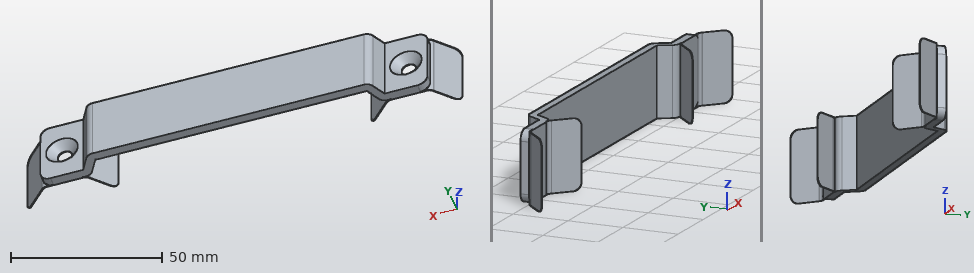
import cadquery as cq
import math

overall_length = 152.0
overall_depth = 17.6
width = 25.0

strip_thickness = 3.0
strip_length = 135.1
tab_offset = 6.0
web_angle = math.radians(60)
plate_half_length = 47.4
tab_corner_radius = 3.5

clip_thickness = 0.3
clip_span = 31.9
clip_bend_radius = 2.6
leg_angle = math.radians(45)
leg_corner_radius = 3.0

hole_diameter = 5.0
countersink_diameter = 11.1

plate_front = -strip_thickness
tab_back = -tab_offset
tab_front = tab_back - strip_thickness
web_run = (strip_thickness + (tab_offset - strip_thickness) * math.cos(web_angle)) / math.sin(web_angle)
tab_inner_x = plate_half_length + web_run
tab_end_x = strip_length / 2
clip_x = (overall_length - clip_span) / 2

clip_outer_radius = clip_bend_radius + clip_thickness
bend_drop = clip_outer_radius * (1 - math.cos(leg_angle))
clip_drop = overall_depth + tab_front
leg_drop = clip_drop - bend_drop - clip_thickness * math.cos(leg_angle)
leg_length = leg_drop / math.sin(leg_angle)
leg_run = leg_length * math.cos(leg_angle)
clip_flat_half = clip_span / 2 - clip_outer_radius * math.sin(leg_angle) - leg_run


def polar(center, radius, angle):
    """Point at an angle turned from +Y towards +X."""
    return (center[0] + radius * math.sin(angle), center[1] + radius * math.cos(angle))


def extrude_across_width(profile):
    return profile.close().extrude(width / 2, both=True)


def make_half_strip():
    """The +X half of the strip, with bends rounded about their sharp inside corners."""
    plate_corner = (plate_half_length, plate_front)
    tab_corner = (tab_inner_x, tab_back)
    profile = (
        cq.Workplane("XY")
        .moveTo(0, 0)
        .lineTo(plate_half_length, 0)
        .threePointArc(
            polar(plate_corner, strip_thickness, web_angle / 2),
            polar(plate_corner, strip_thickness, web_angle),
        )
        .lineTo(*tab_corner)
        .lineTo(tab_end_x, tab_back)
        .lineTo(tab_end_x, tab_front)
        .lineTo(tab_inner_x, tab_front)
        .threePointArc(
            polar(tab_corner, strip_thickness, math.pi + web_angle / 2),
            polar(tab_corner, strip_thickness, math.pi + web_angle),
        )
        .lineTo(*plate_corner)
        .lineTo(0, plate_front)
    )
    return extrude_across_width(profile).edges("|Y and >X").fillet(tab_corner_radius)


def make_half_clip():
    """The +X half of a clip centred on X = 0, with its leg corners rounded."""
    bend_center = (clip_flat_half, tab_front - clip_outer_radius)
    outer_end = polar(bend_center, clip_outer_radius, leg_angle)
    inner_end = polar(bend_center, clip_bend_radius, leg_angle)
    inner_face = tab_front - clip_thickness
    profile = (
        cq.Workplane("XY")
        .moveTo(0, tab_front)
        .lineTo(clip_flat_half, tab_front)
        .threePointArc(polar(bend_center, clip_outer_radius, leg_angle / 2), outer_end)
        .lineTo(outer_end[0] + leg_run, outer_end[1] - leg_drop)
        .lineTo(inner_end[0] + leg_run, inner_end[1] - leg_drop)
        .lineTo(*inner_end)
        .threePointArc(polar(bend_center, clip_bend_radius, leg_angle / 2), (clip_flat_half, inner_face))
        .lineTo(0, inner_face)
    )
    leg_tip = extrude_across_width(profile).faces(">X")
    return leg_tip.edges("not |Z").fillet(leg_corner_radius)


def make_hole():
    """Straight through the clip, then widening as a cone to the back of the tab."""
    clip_hole = (
        cq.Workplane("XZ", origin=(clip_x, tab_front, 0))
        .circle(hole_diameter / 2)
        .extrude(clip_thickness)
    )
    countersink = (
        cq.Workplane("XZ", origin=(clip_x, tab_back, 0))
        .circle(countersink_diameter / 2)
        .workplane(offset=strip_thickness)
        .circle(hole_diameter / 2)
        .loft()
    )
    return clip_hole.union(countersink)


half_clip = make_half_clip()
clip = half_clip.union(half_clip.mirror("YZ")).translate((clip_x, 0, 0))
half_part = make_half_strip().union(clip).cut(make_hole())
result = half_part.union(half_part.mirror("YZ"))